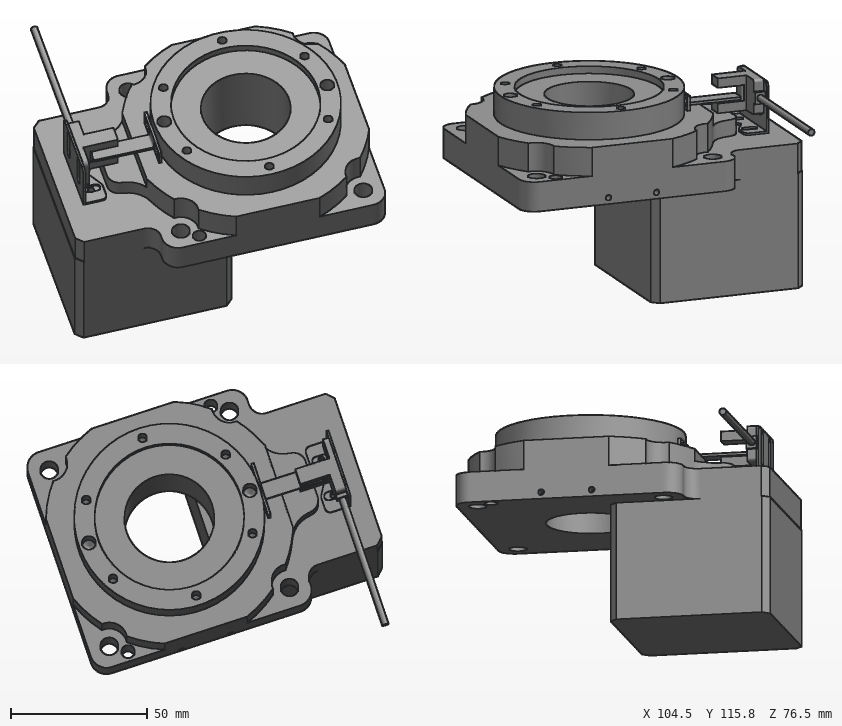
import cadquery as cq
import math


plate_size = 85.0
plate_height = 11.3
plate_corner_radius = 6.0
inner_corner_radius = 5.0
motor_width = 60.0
motor_height = 43.9
motor_front_y = -73.3
motor_chamfer = 2.7
flange_setback = 0.2

housing_radius = 45.4
housing_height = 10.9
corner_hole_offset = 34.9
corner_hole_diameter = 6.6
corner_relief_radius = 6.6
pin_hole_x = 38.9
pin_hole_y = 29.0
pin_hole_diameter = 4.9

boss_front_y = -55.0
boss_height = 6.3
boss_root_angle = 23.3
boss_root_radius = 10.3
boss_wall_draft = 11.0
boss_corner_radius = 4.6

table_radius = 35.0
table_height = 10.4
table_recess_diameter = 54.9
table_recess_depth = 2.8
bore_diameter = 33.0
bolt_circle_radius = 31.2
table_screw_diameter = 3.2
table_pin_diameter = 5.1
table_hole_depth = 7.0
side_hole_spacing = 19.0
side_hole_z = 2.4
side_hole_diameter = 2.1
side_hole_depth = 4.6
drill_point_angle = 118.0

bracket_sheet = 0.8
bracket_width = 26.0
bracket_height = 19.5
bracket_front_y = -65.8
bracket_foot_length = 9.3
bracket_corner_radius = 2.1
bracket_slot_width = 3.1
bracket_slot_x = 6.5
wall_slot_low_z = 16.7
wall_slot_length = 13.3
foot_slot_x = 7.0
foot_slot_end_y = -57.7
foot_slot_length = 6.0
foot_notch_half_width = 6.4
foot_notch_depth = 3.7
foot_notch_fillet = 2.3
bracket_screw_y = -61.1
bracket_screw_diameter = 2.3
bracket_screw_depth = 4.6

sensor_bottom_z = 18.1
sensor_height = 13.3
sensor_left_x = -10.4
sensor_right_x = 10.3
left_wing_depth = 4.0
right_wing_depth = 2.2
left_wing_radius = 1.0
right_wing_radius = 2.0
fork_left_x = -3.4
fork_right_x = 2.5
fork_tip_y = -49.6
fork_gap = 6.0
fork_floor_y = -60.1
lens_depth = 1.0
lens_width = 4.9
lens_edge_radius = 0.5
sensor_hole_diameter = 3.4
sensor_hole_spacing = 7.0
cable_block_length = 1.5
cable_block_height = 4.5
cable_diameter = 2.5
cable_end_x = -62.0

flag_tilt = 0.5
flag_offset = 0.5
flag_width = 20.3
flag_height = 5.7
flag_sheet = 1.0
flag_arm_width = 6.3
flag_arm_end = 59.0
flag_bend_radius = 0.7
flag_tip_radius = 0.6
flag_slot_length = 6.3
flag_slot_width = 3.5
flag_slot_x = 6.3

match_tolerance = 0.1

half_plate = plate_size / 2
half_motor = motor_width / 2
motor_back_y = motor_front_y + motor_width
flange_front_y = motor_front_y + flange_setback
housing_top = plate_height + housing_height
table_top = housing_top + table_height
bracket_inner_y = bracket_front_y + bracket_sheet
sensor_middle_z = sensor_bottom_z + sensor_height / 2


def vertical_edges_at(body, half_width, y):
    """Vertical edges of the body that stand at X = +-half_width on the given Y."""
    return body.edges("|Z").filter(
        lambda edge: abs(abs(edge.Center().x) - half_width) < match_tolerance
        and abs(edge.Center().y - y) < match_tolerance
    )


def slab(x_range, y_range, z_range):
    """Axis-aligned block given by its limits on each axis."""
    (x0, x1), (y0, y1), (z0, z1) = x_range, y_range, z_range
    return cq.Workplane("XY").box(x1 - x0, y1 - y0, z1 - z0, centered=False).translate((x0, y0, z0))


def drilled_hole(diameter, depth):
    """Blind drill cutter: it starts at the origin, runs down -Z and ends in a drill point."""
    radius = diameter / 2
    point_length = radius / math.tan(math.radians(drill_point_angle / 2))
    return (
        cq.Workplane("XZ")
        .polyline([(0, 0), (radius, 0), (radius, -depth), (0, -depth - point_length)])
        .close()
        .revolve(360, (0, 0, 0), (0, 1, 0))
    )


def base_plate():
    """Square plate with a motor flange running out of its front side."""
    plate = cq.Workplane("XY").rect(plate_size, plate_size).extrude(plate_height)
    plate = plate.edges("|Z").fillet(plate_corner_radius)
    flange = slab((-half_motor, half_motor), (flange_front_y, 0), (0, plate_height))
    flange = flange.edges("|Z and <Y").chamfer(motor_chamfer)
    body = plate.union(flange)
    return vertical_edges_at(body, half_motor, -half_plate).fillet(inner_corner_radius)


def motor():
    block = slab((-half_motor, half_motor), (motor_front_y, motor_back_y), (-motor_height, 0))
    return block.edges("|Z").chamfer(motor_chamfer)


def housing_outline(height):
    """Round housing with a tapering front boss that blends into it through two root arcs."""
    root_angle = math.radians(boss_root_angle)
    draft = math.radians(boss_wall_draft)
    root_x = (housing_radius + boss_root_radius) * math.sin(root_angle)
    root_y = -(housing_radius + boss_root_radius) * math.cos(root_angle)
    tangent_x = housing_radius * math.sin(root_angle)
    tangent_y = -housing_radius * math.cos(root_angle)
    wall_x = root_x - boss_root_radius * math.cos(draft)
    wall_y = root_y + boss_root_radius * math.sin(draft)
    front_x = wall_x - (wall_y - boss_front_y) * math.tan(draft)
    drum = cq.Workplane("XY").circle(housing_radius).extrude(height)
    neck = (
        cq.Workplane("XY")
        .moveTo(-tangent_x, tangent_y)
        .lineTo(-root_x, root_y)
        .lineTo(-wall_x, wall_y)
        .lineTo(-front_x, boss_front_y)
        .lineTo(front_x, boss_front_y)
        .lineTo(wall_x, wall_y)
        .lineTo(root_x, root_y)
        .lineTo(tangent_x, tangent_y)
        .close()
        .extrude(height)
    )
    neck = neck.edges("|Z and <Y").fillet(boss_corner_radius)
    root_arcs = (
        cq.Workplane("XY")
        .pushPoints([(-root_x, root_y), (root_x, root_y)])
        .circle(boss_root_radius)
        .extrude(height)
    )
    return drum.union(neck.cut(root_arcs))


def housing():
    """Housing drum, trimmed flush with the plate sides and relieved around the corner holes."""
    body = housing_outline(housing_height)
    plate_column = slab(
        (-half_plate, half_plate), (motor_front_y, half_plate), (0, housing_height)
    )
    body = body.intersect(plate_column)
    above_boss = slab(
        (-half_plate, half_plate), (motor_front_y, -half_plate), (boss_height, housing_height)
    )
    reliefs = (
        cq.Workplane("XY")
        .rect(2 * corner_hole_offset, 2 * corner_hole_offset, forConstruction=True)
        .vertices()
        .circle(corner_relief_radius)
        .extrude(housing_height)
    )
    return body.cut(above_boss).cut(reliefs).translate((0, 0, plate_height))


def turntable():
    """Round table with a centring recess in its top."""
    table = cq.Workplane("XY").workplane(offset=housing_top).circle(table_radius).extrude(table_height)
    return table.faces(">Z").workplane().circle(table_recess_diameter / 2).cutBlind(-table_recess_depth)


def plate_holes():
    screws = (
        cq.Workplane("XY")
        .rect(2 * corner_hole_offset, 2 * corner_hole_offset, forConstruction=True)
        .vertices()
        .circle(corner_hole_diameter / 2)
        .extrude(plate_height)
    )
    pins = (
        cq.Workplane("XY")
        .pushPoints([(-pin_hole_x, pin_hole_y), (pin_hole_x, -pin_hole_y)])
        .circle(pin_hole_diameter / 2)
        .extrude(plate_height)
    )
    return screws.union(pins)


def drill_table_holes(body):
    """Six screw holes and two larger pin holes on one bolt circle."""
    pattern = [(angle, table_screw_diameter) for angle in range(0, 360, 60)]
    pattern += [(angle, table_pin_diameter) for angle in (90, 270)]
    for angle, diameter in pattern:
        x = bolt_circle_radius * math.cos(math.radians(angle))
        y = bolt_circle_radius * math.sin(math.radians(angle))
        body = body.cut(drilled_hole(diameter, table_hole_depth).translate((x, y, table_top)))
    return body


def drill_side_holes(body):
    """Two small blind holes in the -X side of the plate."""
    cutter = drilled_hole(side_hole_diameter, side_hole_depth).rotate((0, 0, 0), (0, 1, 0), -90)
    for y in (-side_hole_spacing / 2, side_hole_spacing / 2):
        body = body.cut(cutter.translate((-half_plate, y, side_hole_z)))
    return body


def drill_bracket_holes(body):
    """Tapped holes under the foot slots of the sensor bracket."""
    cutter = drilled_hole(bracket_screw_diameter, bracket_screw_depth)
    for x in (-foot_slot_x, foot_slot_x):
        body = body.cut(cutter.translate((x, bracket_screw_y, plate_height)))
    return body


def make_actuator():
    body = base_plate().union(housing()).union(turntable())
    bore = cq.Workplane("XY").circle(bore_diameter / 2).extrude(table_top)
    body = body.cut(bore).cut(plate_holes())
    body = drill_table_holes(body)
    body = drill_side_holes(body)
    body = drill_bracket_holes(body)
    return body.union(motor())


def bracket_wall():
    """Upright sheet with two long vertical slots."""
    half_width = bracket_width / 2
    wall = slab(
        (-half_width, half_width),
        (bracket_front_y, bracket_inner_y),
        (plate_height, plate_height + bracket_height),
    )
    wall = wall.edges("|Y and >Z").fillet(bracket_corner_radius)
    slot_z = wall_slot_low_z + wall_slot_length / 2
    slots = (
        cq.Workplane("XZ", origin=(0, bracket_inner_y, 0))
        .pushPoints([(-bracket_slot_x, slot_z), (bracket_slot_x, slot_z)])
        .slot2D(wall_slot_length, bracket_slot_width, 90)
        .extrude(bracket_sheet)
    )
    return wall.cut(slots)


def bracket_foot():
    """Foot with a V notch in its back edge and a slot on each side of it."""
    half_width = bracket_width / 2
    back_y = bracket_front_y + bracket_foot_length
    foot = (
        cq.Workplane("XY")
        .moveTo(-half_width, bracket_front_y)
        .lineTo(half_width, bracket_front_y)
        .lineTo(half_width, back_y)
        .lineTo(foot_notch_half_width, back_y)
        .lineTo(0, back_y - foot_notch_depth)
        .lineTo(-foot_notch_half_width, back_y)
        .lineTo(-half_width, back_y)
        .close()
        .extrude(bracket_sheet)
    )
    foot = vertical_edges_at(foot, half_width, back_y).fillet(bracket_corner_radius)
    foot = vertical_edges_at(foot, foot_notch_half_width, back_y).fillet(foot_notch_fillet)
    slot_y = foot_slot_end_y - foot_slot_length / 2
    slots = (
        cq.Workplane("XY")
        .pushPoints([(-foot_slot_x, slot_y), (foot_slot_x, slot_y)])
        .slot2D(foot_slot_length, bracket_slot_width, 90)
        .extrude(bracket_sheet)
    )
    return foot.cut(slots).translate((0, 0, plate_height))


def make_bracket():
    return bracket_wall().union(bracket_foot())


def sensor_wing(x_range, depth, rounded_side, radius):
    """Mounting wing against the bracket, with the corners of its free end rounded."""
    wing = slab(
        x_range,
        (bracket_inner_y, bracket_inner_y + depth),
        (sensor_bottom_z, sensor_bottom_z + sensor_height),
    )
    return wing.edges(f"|Y and {rounded_side}").fillet(radius)


def sensor_fork():
    """Two prongs with a gap for the flag and a lens pad on the floor of the gap."""
    prongs = slab(
        (fork_left_x, fork_right_x),
        (bracket_inner_y, fork_tip_y),
        (sensor_bottom_z, sensor_bottom_z + sensor_height),
    )
    gap_z = (sensor_middle_z - fork_gap / 2, sensor_middle_z + fork_gap / 2)
    gap = slab((fork_left_x, fork_right_x), (fork_floor_y, fork_tip_y), gap_z)
    fork_middle_x = (fork_left_x + fork_right_x) / 2
    lens_x = (fork_middle_x - lens_width / 2, fork_middle_x + lens_width / 2)
    lens = slab(lens_x, (fork_floor_y, fork_floor_y + lens_depth), gap_z)
    lens = lens.edges("|Z and >Y").fillet(lens_edge_radius)
    return prongs.cut(gap).union(lens)


def sensor_cable():
    """Square outlet block with the round cable leading away along -X."""
    block_x = sensor_left_x - cable_block_length
    cable_y = bracket_inner_y + left_wing_depth / 2
    block = slab(
        (block_x, fork_left_x),
        (bracket_inner_y, bracket_inner_y + left_wing_depth),
        (sensor_middle_z - cable_block_height / 2, sensor_middle_z + cable_block_height / 2),
    )
    cable = (
        cq.Workplane("YZ", origin=(cable_end_x, cable_y, sensor_middle_z))
        .circle(cable_diameter / 2)
        .extrude(block_x - cable_end_x)
    )
    return block.union(cable)


def make_sensor():
    left_wing = sensor_wing((sensor_left_x, fork_left_x), left_wing_depth, "<X", left_wing_radius)
    right_wing = sensor_wing((fork_right_x, sensor_right_x), right_wing_depth, ">X", right_wing_radius)
    screw_holes = (
        cq.Workplane("XZ", origin=(bracket_slot_x, bracket_inner_y, sensor_middle_z))
        .pushPoints([(0, -sensor_hole_spacing / 2), (0, sensor_hole_spacing / 2)])
        .circle(sensor_hole_diameter / 2)
        .extrude(-right_wing_depth)
    )
    return sensor_fork().union(left_wing).union(right_wing.cut(screw_holes)).union(sensor_cable())


def make_flag():
    """Bent sheet on the table rim, its arm reaching into the fork; tilted about the table axis."""
    front = -table_radius - flag_sheet
    arm_top = housing_top + flag_sheet
    half_width = flag_width / 2
    half_arm = flag_arm_width / 2
    upright = slab(
        (-half_width, half_width), (front, -table_radius), (housing_top, housing_top + flag_height)
    )
    slot_z = housing_top + flag_height / 2
    slots = (
        cq.Workplane("XZ", origin=(0, -table_radius, 0))
        .pushPoints([(-flag_slot_x, slot_z), (flag_slot_x, slot_z)])
        .slot2D(flag_slot_length, flag_slot_width)
        .extrude(flag_sheet)
    )
    arm = slab((-half_arm, half_arm), (-flag_arm_end, front), (housing_top, arm_top))
    arm = arm.edges("|Z and <Y").fillet(flag_tip_radius)
    bend = (
        cq.Workplane("YZ", origin=(-half_arm, 0, 0))
        .moveTo(front, arm_top)
        .lineTo(front, arm_top + flag_bend_radius)
        .radiusArc((front - flag_bend_radius, arm_top), flag_bend_radius)
        .close()
        .extrude(flag_arm_width)
    )
    flag = upright.cut(slots).union(arm).union(bend)
    return flag.translate((flag_offset, 0, 0)).rotate((0, 0, 0), (0, 0, 1), -flag_tilt)


actuator = make_actuator()
bracket = make_bracket()
sensor = make_sensor()
flag = make_flag()

result = cq.Compound.makeCompound([actuator.val(), bracket.val(), sensor.val(), flag.val()])